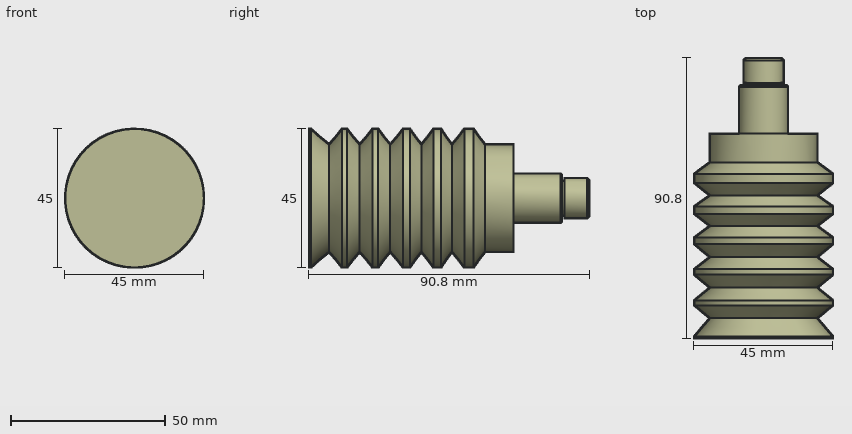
import cadquery as cq

total_length = 90.8

rim_radius = 45.0 / 2
neck_radius = 35.0 / 2
lip_thickness = 0.6
folds = [
    (6.5, 10.7, 12.35),
    (16.4, 20.6, 22.4),
    (26.3, 30.5, 32.7),
    (36.4, 40.3, 42.8),
    (46.3, 50.3, 53.3),
]
collar_start_y = 57.0

shoulder_y = 66.3
stem_radius = 16.0 / 2
stem_end_y = 82.0
stem_chamfer = 0.5
groove_radius = 11.4 / 2
groove_width = 0.7
tip_radius = 13.2 / 2
tip_chamfer = 0.8


def bellows_points():
    """Half-profile of the bellows, from the sealing lip up to the collar."""
    points = [(0, 0), (rim_radius, 0), (rim_radius, lip_thickness)]
    for valley_y, rim_start_y, rim_end_y in folds:
        points += [
            (neck_radius, valley_y),
            (rim_radius, rim_start_y),
            (rim_radius, rim_end_y),
        ]
    points.append((neck_radius, collar_start_y))
    return points


def stem_points():
    """Half-profile of the collar, stem, groove and chamfered tip."""
    groove_end_y = stem_end_y + groove_width
    return [
        (neck_radius, shoulder_y),
        (stem_radius, shoulder_y),
        (stem_radius, stem_end_y - stem_chamfer),
        (stem_radius - stem_chamfer, stem_end_y),
        (groove_radius, stem_end_y),
        (groove_radius, groove_end_y),
        (tip_radius, groove_end_y),
        (tip_radius, total_length - tip_chamfer),
        (tip_radius - tip_chamfer, total_length),
        (0, total_length),
    ]


profile = cq.Workplane("XY").polyline(bellows_points() + stem_points()).close()
result = profile.revolve(360, (0, 0, 0), (0, 1, 0))